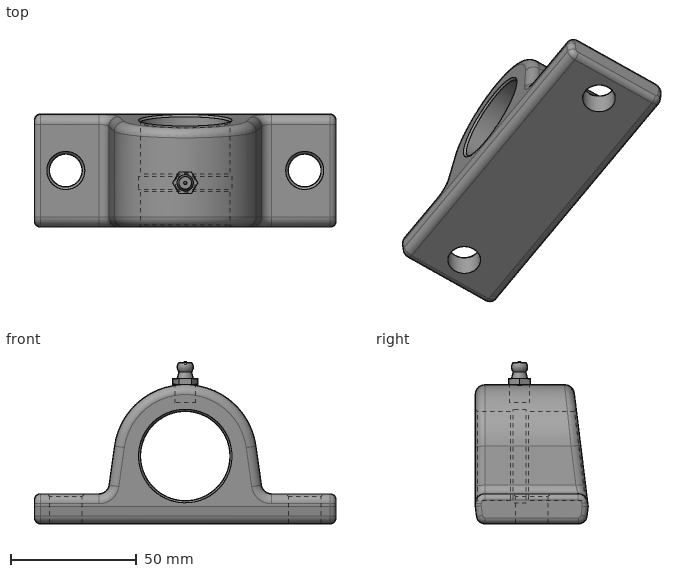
import cadquery as cq
import math


base_length = 120.0
base_width = 45.0
base_height = 12.0
parting_height = 7.0
draft_angle = math.radians(7)

bore_height = 27.0
boss_radius = 28.5
flank_angle = math.radians(8)
flank_root_radius = 4.0
boss_top = bore_height + boss_radius

pick_margin = 1.2

contour_fillet = 4.0
bottom_fillet = 3.5
end_fillet = 2.4

bore_diameter = 35.5
bore_chamfer = 0.8
groove_depth = 0.8
groove_width = 7.1
groove_wall_width = 1.0

bolt_spacing = 95.0
bolt_hole_diameter = 13.0
countersink = 1.1
bolt_y = 22.5

nipple_y = 17.6
stem_diameter = 8.0
stem_depth = 7.2
hex_corner_diameter = 10.0
hex_bottom = boss_top + 0.1
hex_height = 2.3
cone_bottom_radius = 3.2
neck_radius = 2.5
cone_height = 2.6
head_radius = 3.2
head_height = 3.7
hex_top = hex_bottom + hex_height
neck_z = hex_top + cone_height
head_top = neck_z + head_height

ball_radius = 0.6
ball_rise = 0.5
ball_z = head_top + ball_rise - ball_radius


def make_boss_and_base():
    """Front outline extruded through the whole width."""
    half = base_length / 2
    tangent_x = boss_radius * math.cos(flank_angle)
    tangent_z = bore_height + boss_radius * math.sin(flank_angle)
    root_x = tangent_x + (tangent_z - base_height) * math.tan(flank_angle)
    body = (
        cq.Workplane("XZ")
        .moveTo(-half, 0)
        .lineTo(half, 0)
        .lineTo(half, base_height)
        .lineTo(root_x, base_height)
        .lineTo(tangent_x, tangent_z)
        .threePointArc((0, boss_top), (-tangent_x, tangent_z))
        .lineTo(-root_x, base_height)
        .lineTo(-half, base_height)
        .close()
        .extrude(-base_width)
    )
    roots = cq.selectors.BoxSelector(
        (-root_x - pick_margin, 0, base_height - pick_margin),
        (root_x + pick_margin, base_width, base_height + pick_margin),
    )
    return body.edges("|Y").edges(roots).fillet(flank_root_radius)


def make_side_envelope():
    """Side outline: upright front, leaning back, both drawn in below the parting level."""
    lower_inset = parting_height * math.tan(draft_angle)
    upper_inset = (boss_top - parting_height) * math.tan(draft_angle)
    return (
        cq.Workplane("YZ")
        .polyline([
            (lower_inset, 0),
            (base_width - lower_inset, 0),
            (base_width, parting_height),
            (base_width - upper_inset, boss_top),
            (0, boss_top),
            (0, parting_height),
        ])
        .close()
        .extrude(base_length / 2, both=True)
    )


def round_edges(body):
    """Round the outline edges front and back, then the bottom edges and the two ends."""
    leaning_normal = (0, math.cos(draft_angle), math.sin(draft_angle))
    leaning_back = cq.selectors.ParallelDirSelector(cq.Vector(*leaning_normal))
    front_and_back = body.faces("<Y").vals() + body.faces(leaning_back).vals()
    contour = [
        edge for edge in body.newObject(front_and_back).edges().vals()
        if edge.Center().z > parting_height + end_fillet
        and abs(edge.Center().x) < base_length / 2 - end_fillet
    ]
    body = body.newObject(contour).fillet(contour_fillet)
    body = body.faces("<Z").edges("|X").fillet(bottom_fillet)
    return body.faces("<X or >X").edges().fillet(end_fillet)


def make_bore_cutter():
    """Bore with the trapezoidal grease groove around it."""
    radius = bore_diameter / 2
    groove_radius = radius + groove_depth
    start = nipple_y - groove_width / 2
    end = nipple_y + groove_width / 2
    return (
        cq.Workplane("XY")
        .polyline([
            (0, 0),
            (radius, 0),
            (radius, start),
            (groove_radius, start + groove_wall_width),
            (groove_radius, end - groove_wall_width),
            (radius, end),
            (radius, base_width),
            (0, base_width),
        ])
        .close()
        .revolve(360, (0, 0, 0), (0, 1, 0))
        .translate((0, 0, bore_height))
    )


def bounds_groove(edge):
    """True for the circles that bound the grease groove."""
    return abs(edge.Center().y - nipple_y) < groove_width


def chamfer_bore_mouths(body):
    """Chamfer the round front mouth and the elliptical back mouth of the bore."""
    mouths = [
        edge for edge in body.edges().vals()
        if edge.geomType() in ("CIRCLE", "ELLIPSE")
        and abs(edge.Center().x) < pick_margin
        and abs(edge.Center().z - bore_height) < pick_margin
        and not bounds_groove(edge)
    ]
    return body.newObject(mouths).chamfer(bore_chamfer)


def make_bolt_hole_cutter(x):
    """Through hole with a countersunk top."""
    radius = bolt_hole_diameter / 2
    hole = cq.Solid.makeCylinder(radius, base_height, cq.Vector(x, bolt_y, 0))
    sink_bottom = cq.Vector(x, bolt_y, base_height - countersink)
    sink = cq.Solid.makeCone(radius, radius + countersink, countersink, sink_bottom)
    return cq.Workplane(hole).union(cq.Workplane(sink))


def make_housing():
    """Housing with rounded edges, grooved bore, bolt holes and nipple hole."""
    body = round_edges(make_boss_and_base().intersect(make_side_envelope()))
    body = chamfer_bore_mouths(body.cut(make_bore_cutter()))
    for side in (-1, 1):
        body = body.cut(make_bolt_hole_cutter(side * bolt_spacing / 2))
    return body.cut(make_stem())


def make_stem():
    """Nipple stem, also used to cut its matching blind hole."""
    stem_bottom = boss_top - stem_depth
    return (
        cq.Workplane("XY", origin=(0, nipple_y, stem_bottom))
        .circle(stem_diameter / 2)
        .extrude(hex_bottom - stem_bottom)
    )


def make_ball():
    """Check ball standing slightly proud of the nipple head."""
    return cq.Workplane("XY", origin=(0, nipple_y, ball_z)).sphere(ball_radius)


def make_nipple():
    """Stem, hexagon, cone and rounded head, with a seat for the check ball."""
    hexagon = (
        cq.Workplane("XY", origin=(0, nipple_y, hex_bottom))
        .polygon(6, hex_corner_diameter)
        .extrude(hex_height)
    )
    head = (
        cq.Workplane("XZ", origin=(0, nipple_y, 0))
        .moveTo(0, hex_top)
        .lineTo(cone_bottom_radius, hex_top)
        .lineTo(neck_radius, neck_z)
        .threePointArc((head_radius, neck_z + head_height / 2), (neck_radius, head_top))
        .lineTo(0, head_top)
        .close()
        .revolve(360, (0, 0, 0), (0, 1, 0))
    )
    return make_stem().union(hexagon).union(head).cut(make_ball())


housing = make_housing()
nipple = make_nipple()
check_ball = make_ball()

result = cq.Compound.makeCompound([housing.val(), nipple.val(), check_ball.val()])